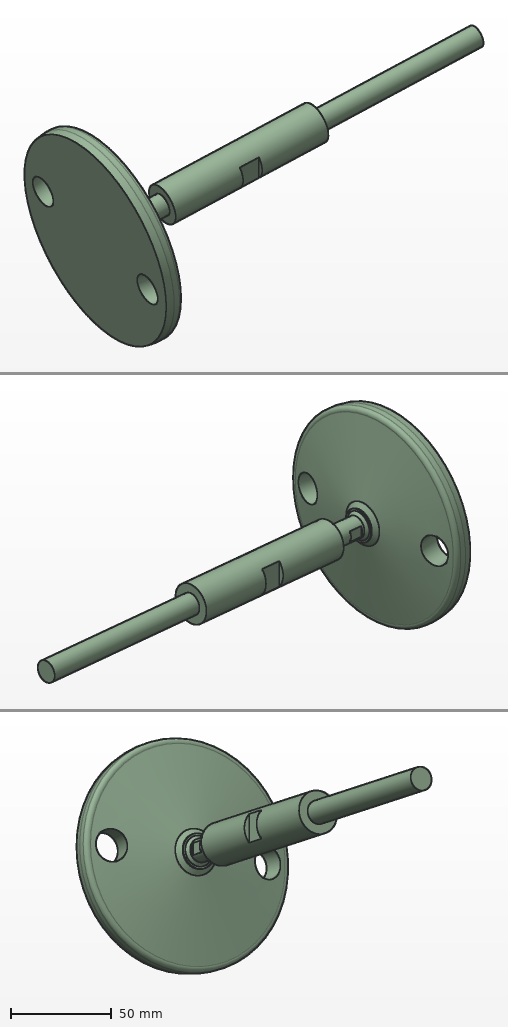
import cadquery as cq
import math

TOTAL_LENGTH = 237.0

FOOT_RADIUS = 59.0
FLOOR_RADIUS = 58.3
LOWER_BAND_HEIGHT = 4.3
RIM_HEIGHT = 7.5
SHOULDER_RADIUS = 56.2
SHOULDER_HEIGHT = 10.0
CONE_TOP_RADIUS = 11.8
CONE_TOP_HEIGHT = 17.8
NECK_RADIUS = 8.3
NECK_HEIGHT = 20.1
LIP_RADIUS = 9.0
LIP_THICKNESS = 0.7
COLLAR_TOP = NECK_HEIGHT + LIP_THICKNESS

HOLE_DIAMETER = 16.5
HOLE_OFFSET = 43.0
CONE_ANGLE = math.atan2(CONE_TOP_HEIGHT - SHOULDER_HEIGHT, SHOULDER_RADIUS - CONE_TOP_RADIUS)
HOLE_OVERRUN = 7.0

SPINDLE_RADIUS = 12.0 / 2
FLARE_TOP = 22.5
FLARE_RADIUS = 7.8
SPINDLE_FLATS_WIDTH = 10.5
SPINDLE_FLATS_START = 24.0
SPINDLE_FLATS_LENGTH = 7.8

SLEEVE_RADIUS = 22.0 / 2
SLEEVE_START = 41.7
SLEEVE_LENGTH = 95.0
SLEEVE_FLATS_WIDTH = 16.5
SLEEVE_FLATS_START = 83.7
SLEEVE_FLATS_LENGTH = 11.8


def turn(profile):
    """Revolve a closed radius-height profile about the Y axis."""
    return profile.revolve(360, (0, 0, 0), (0, 1, 0))


def cylinder(radius, start, length):
    """Solid cylinder along +Y."""
    return cq.Workplane(cq.Solid.makeCylinder(radius, length, cq.Vector(0, start, 0), cq.Vector(0, 1, 0)))


def cut_wrench_flats(body, radius, width, start, length):
    """Cut two flats, facing -X and +X, into a round body."""
    depth = radius - width / 2
    for side in (-1, 1):
        cutter = cq.Workplane().box(2 * depth, length, 2 * radius)
        cutter = cutter.translate((side * (width / 2 + depth), start + length / 2, 0))
        body = body.cut(cutter)
    return body


def make_foot():
    """Conical plate with a rounded rim, a lipped collar and two tilted holes."""
    profile = (
        cq.Workplane("XY")
        .lineTo(FLOOR_RADIUS, 0)
        .lineTo(FOOT_RADIUS, LOWER_BAND_HEIGHT)
        .lineTo(FOOT_RADIUS, RIM_HEIGHT)
        .tangentArcPoint((SHOULDER_RADIUS, SHOULDER_HEIGHT), relative=False)
        .lineTo(CONE_TOP_RADIUS, CONE_TOP_HEIGHT)
        .lineTo(NECK_RADIUS, NECK_HEIGHT)
        .lineTo(LIP_RADIUS, NECK_HEIGHT)
        .lineTo(LIP_RADIUS, COLLAR_TOP)
        .lineTo(0, COLLAR_TOP)
        .close()
    )
    foot = turn(profile)
    for side in (-1, 1):
        axis = cq.Vector(side * math.sin(CONE_ANGLE), math.cos(CONE_ANGLE), 0)
        start = cq.Vector(side * HOLE_OFFSET, 0, 0) - axis * HOLE_OVERRUN
        length = CONE_TOP_HEIGHT + 2 * HOLE_OVERRUN
        foot = foot.cut(cq.Workplane(cq.Solid.makeCylinder(HOLE_DIAMETER / 2, length, start, axis)))
    return foot


def make_spindle():
    """Long round rod with a flared end resting on the foot and wrench flats above it."""
    profile = (
        cq.Workplane("XY")
        .moveTo(0, COLLAR_TOP)
        .lineTo(FLARE_RADIUS, COLLAR_TOP)
        .lineTo(SPINDLE_RADIUS, FLARE_TOP)
        .lineTo(SPINDLE_RADIUS, TOTAL_LENGTH)
        .lineTo(0, TOTAL_LENGTH)
        .close()
    )
    return cut_wrench_flats(
        turn(profile), SPINDLE_RADIUS, SPINDLE_FLATS_WIDTH, SPINDLE_FLATS_START, SPINDLE_FLATS_LENGTH
    )


def make_sleeve():
    """Tube around the spindle with its own pair of wrench flats."""
    sleeve = cylinder(SLEEVE_RADIUS, SLEEVE_START, SLEEVE_LENGTH)
    sleeve = sleeve.cut(cylinder(SPINDLE_RADIUS, SLEEVE_START, SLEEVE_LENGTH))
    return cut_wrench_flats(
        sleeve, SLEEVE_RADIUS, SLEEVE_FLATS_WIDTH, SLEEVE_FLATS_START, SLEEVE_FLATS_LENGTH
    )


foot = make_foot()
spindle = make_spindle()
sleeve = make_sleeve()

result = cq.Compound.makeCompound([body.solids().val() for body in (foot, spindle, sleeve)])